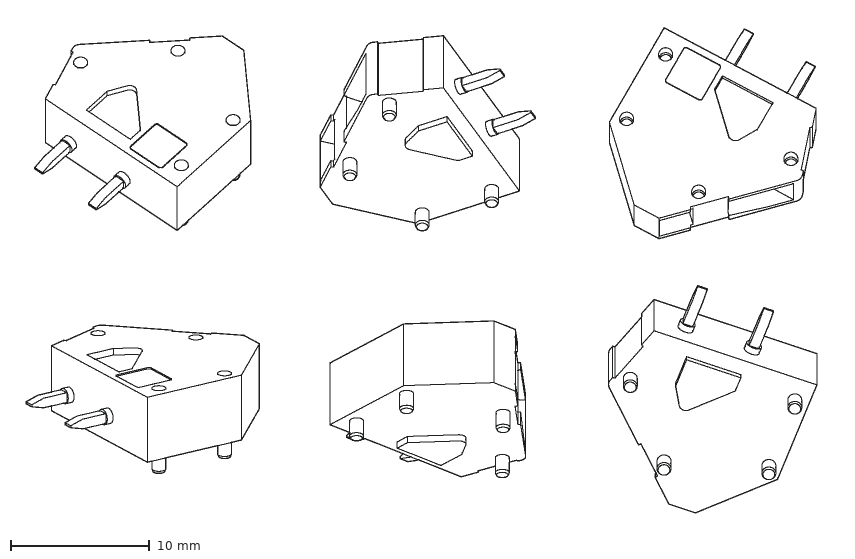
import cadquery as cq
import math


WIDTH = 14.1
DEPTH = 12.72
THICKNESS = 5.0
REAR_FLAT_RIGHT = 9.5
REAR_FLAT_LEFT = 7.46
FRONT_FLAT_LEFT = 1.6
FLANK_ANGLE = 18
NOSE_RADIUS = 0.6

GRIP_FRONT = 1.36
GRIP_FRONT_INNER = 1.5
GRIP_REAR = 4.57
GRIP_DEPTH = 0.18

RECESS_FRONT = 9.02
RECESS_REAR = 11.07
RECESS_DEPTH = 0.2
RECESS_REAR_LEAN = 0.03

OPENING_DEPTH = 2.4
SLOT_FRONT = 10.89
SLOT_REAR = 12.69
SLOT_BOTTOM = 0.6
SLOT_TOP = 4.4
FUNNEL_MOUTH_FRONT = 5.6
FUNNEL_MOUTH_REAR = 9.07
FUNNEL_MOUTH_BOTTOM = 0.55
FUNNEL_MOUTH_TOP = 4.45
FUNNEL_MOUTH_CORNER = 1.02
FUNNEL_FLOOR_FRONT = 5.65
FUNNEL_FLOOR_REAR = 6.85
FUNNEL_FLOOR_BOTTOM = 0.93
FUNNEL_FLOOR_TOP = 3.46

PEG_CENTERS = [(5.93, 9.6), (13.13, 7.31), (1.33, 4.21), (13.03, 1.7)]
PEG_DIAMETER = 1.0
PEG_LENGTH = 1.4
PEG_TIP_DIAMETER = 0.85
PEG_TIP_LENGTH = 0.2

KEY_LEFT = 4.52
KEY_RIGHT = 8.68
KEY_FRONT = 1.14
KEY_LEFT_SIDE_REAR = 3.43
KEY_RIGHT_SIDE_REAR = 2.28
KEY_LEFT_LEAN = 30
KEY_APEX_RADIUS = 0.5
KEY_HEIGHT = 0.5

LABEL_CENTER = (10.61, 2.02)
LABEL_SIZE = 3.0
LABEL_CORNER_RADIUS = 0.2
LABEL_DEPTH = 0.1

SOLDER_PIN_FIRST_X = 4.0
SOLDER_PIN_PITCH = 5.09
SOLDER_PIN_COUNT = 2
SOLDER_PIN_Z = 2.0
SOLDER_PIN_LENGTH = 3.53
COLLAR_DIAMETER = 1.14
COLLAR_LENGTH = 0.5
BLADE_SIZE = 0.75
BLADE_TAPER_LENGTH = 1.02
BLADE_TIP_THICKNESS = 0.16

FACE_OFFSET = DEPTH - REAR_FLAT_LEFT
DIAGONAL = math.sqrt(0.5)


def on_left_face(y, depth=0.0):
    """Point reached by going `depth` straight in from the 45 degree face at `y`."""
    return (y - FACE_OFFSET + depth * DIAGONAL, y - depth * DIAGONAL)


def on_flank(y, depth=0.0):
    """Point on the lower left flank, moved in by `depth` along X."""
    return (FRONT_FLAT_LEFT - y * math.tan(math.radians(FLANK_ANGLE)) + depth, y)


def make_housing():
    flank = math.radians(FLANK_ANGLE)
    center_x = NOSE_RADIUS
    center_y = center_x + FACE_OFFSET - NOSE_RADIUS / DIAGONAL
    nose_rear = (center_x - NOSE_RADIUS * DIAGONAL, center_y + NOSE_RADIUS * DIAGONAL)
    nose_left = (center_x - NOSE_RADIUS, center_y)
    nose_front = (center_x - NOSE_RADIUS * math.cos(flank), center_y - NOSE_RADIUS * math.sin(flank))
    outline = (
        cq.Workplane("XY")
        .moveTo(FRONT_FLAT_LEFT, 0)
        .lineTo(WIDTH, 0)
        .lineTo(WIDTH, DEPTH - (WIDTH - REAR_FLAT_RIGHT))
        .lineTo(REAR_FLAT_RIGHT, DEPTH)
        .lineTo(REAR_FLAT_LEFT, DEPTH)
        .lineTo(*on_left_face(RECESS_REAR))
        .lineTo(*on_left_face(RECESS_REAR - RECESS_REAR_LEAN, RECESS_DEPTH))
        .lineTo(*on_left_face(RECESS_FRONT, RECESS_DEPTH))
        .lineTo(*on_left_face(RECESS_FRONT))
        .lineTo(*nose_rear)
        .threePointArc(nose_left, nose_front)
        .lineTo(*on_flank(GRIP_REAR))
        .lineTo(*on_flank(GRIP_REAR, GRIP_DEPTH))
        .lineTo(*on_flank(GRIP_FRONT_INNER, GRIP_DEPTH))
        .lineTo(*on_flank(GRIP_FRONT))
        .close()
    )
    return outline.extrude(THICKNESS)


def make_slot():
    """Straight rectangular slot running square into the 45 degree face."""
    corners = [
        on_left_face(SLOT_FRONT),
        on_left_face(SLOT_REAR),
        on_left_face(SLOT_REAR, OPENING_DEPTH),
        on_left_face(SLOT_FRONT, OPENING_DEPTH),
    ]
    slot = cq.Workplane("XY").workplane(offset=SLOT_BOTTOM).polyline(corners).close()
    return slot.extrude(SLOT_TOP - SLOT_BOTTOM)


def make_funnel():
    """Tapered wire entry; its lower lip rises towards the rear end of the mouth."""
    def mouth(y, z):
        return (*on_left_face(y), z)

    def floor(y, z):
        return (*on_left_face(y + OPENING_DEPTH * DIAGONAL, OPENING_DEPTH), z)

    mouth_front_bottom = mouth(FUNNEL_MOUTH_FRONT, FUNNEL_MOUTH_BOTTOM)
    mouth_front_top = mouth(FUNNEL_MOUTH_FRONT, FUNNEL_MOUTH_TOP)
    mouth_rear_top = mouth(FUNNEL_MOUTH_REAR, FUNNEL_MOUTH_TOP)
    mouth_rear_corner = mouth(FUNNEL_MOUTH_REAR, FUNNEL_MOUTH_CORNER)
    mouth_lip_bend = mouth(FUNNEL_FLOOR_REAR, FUNNEL_MOUTH_BOTTOM)
    floor_front_bottom = floor(FUNNEL_FLOOR_FRONT, FUNNEL_FLOOR_BOTTOM)
    floor_front_top = floor(FUNNEL_FLOOR_FRONT, FUNNEL_FLOOR_TOP)
    floor_rear_top = floor(FUNNEL_FLOOR_REAR, FUNNEL_FLOOR_TOP)
    floor_rear_bottom = floor(FUNNEL_FLOOR_REAR, FUNNEL_FLOOR_BOTTOM)

    sides = [
        [mouth_front_bottom, mouth_front_top, mouth_rear_top, mouth_rear_corner, mouth_lip_bend],
        [floor_front_bottom, floor_front_top, floor_rear_top, floor_rear_bottom],
        [mouth_front_top, mouth_rear_top, floor_rear_top, floor_front_top],
        [mouth_front_bottom, mouth_front_top, floor_front_top, floor_front_bottom],
        [mouth_rear_corner, mouth_rear_top, floor_rear_top, floor_rear_bottom],
        [mouth_front_bottom, mouth_lip_bend, floor_rear_bottom, floor_front_bottom],
        [mouth_lip_bend, mouth_rear_corner, floor_rear_bottom],
    ]
    faces = []
    for side in sides:
        wire = cq.Wire.makePolygon([cq.Vector(*corner) for corner in side], close=True)
        faces.append(cq.Face.makeFromWires(wire))
    return cq.Workplane(obj=cq.Solid.makeSolid(cq.Shell.makeShell(faces)))


def make_pegs(base_z):
    """Four pegs hanging from `base_z`, each narrowing at its tip."""
    radius = PEG_DIAMETER / 2
    profile = [
        (0, 0),
        (radius, 0),
        (radius, PEG_TIP_LENGTH - PEG_LENGTH),
        (PEG_TIP_DIAMETER / 2, -PEG_LENGTH),
        (0, -PEG_LENGTH),
    ]
    peg = cq.Workplane("XZ").polyline(profile).close().revolve(360, (0, 0), (0, 1))
    pegs = cq.Workplane("XY")
    for x, y in PEG_CENTERS:
        pegs = pegs.add(peg.translate((x, y, base_z)))
    return pegs.combine()


def make_key(base_z):
    """Five-sided plate with a rounded apex, hanging from `base_z`."""
    lean = math.tan(math.radians(KEY_LEFT_LEAN))
    diagonal_sum = KEY_RIGHT + KEY_RIGHT_SIDE_REAR
    apex_y = (diagonal_sum - KEY_LEFT + KEY_LEFT_SIDE_REAR * lean) / (1 + lean)
    apex = (diagonal_sum - apex_y, apex_y)
    corners = [
        (KEY_LEFT, KEY_FRONT),
        (KEY_RIGHT, KEY_FRONT),
        (KEY_RIGHT, KEY_RIGHT_SIDE_REAR),
        apex,
        (KEY_LEFT, KEY_LEFT_SIDE_REAR),
    ]
    plate = cq.Workplane("XY").workplane(offset=base_z).polyline(corners).close().extrude(-KEY_HEIGHT)
    return plate.edges("|Z").edges(">Y").fillet(KEY_APEX_RADIUS)


def make_label_recess():
    recess = (
        cq.Workplane("XY")
        .workplane(offset=THICKNESS - LABEL_DEPTH)
        .center(*LABEL_CENTER)
        .rect(LABEL_SIZE, LABEL_SIZE)
        .extrude(LABEL_DEPTH)
    )
    return recess.edges("|Z").fillet(LABEL_CORNER_RADIUS)


def make_solder_pin(x):
    """Round collar carrying a square blade that thins to a chisel tip."""
    collar = cq.Workplane("XZ").center(x, SOLDER_PIN_Z).circle(COLLAR_DIAMETER / 2).extrude(COLLAR_LENGTH)
    half_thickness = BLADE_SIZE / 2
    half_tip = BLADE_TIP_THICKNESS / 2
    taper_start = BLADE_TAPER_LENGTH - SOLDER_PIN_LENGTH
    side_profile = [
        (0, -half_thickness),
        (0, half_thickness),
        (taper_start, half_thickness),
        (-SOLDER_PIN_LENGTH, half_tip),
        (-SOLDER_PIN_LENGTH, -half_tip),
        (taper_start, -half_thickness),
    ]
    blade = cq.Workplane("YZ").polyline(side_profile).close().extrude(half_thickness, both=True)
    return collar.union(blade.translate((x, 0, SOLDER_PIN_Z)))


result = make_housing()

result = result.cut(make_slot()).cut(make_funnel())
result = result.cut(make_pegs(THICKNESS)).cut(make_key(THICKNESS)).cut(make_label_recess())

result = result.union(make_pegs(0)).union(make_key(0))
for index in range(SOLDER_PIN_COUNT):
    result = result.union(make_solder_pin(SOLDER_PIN_FIRST_X + index * SOLDER_PIN_PITCH))